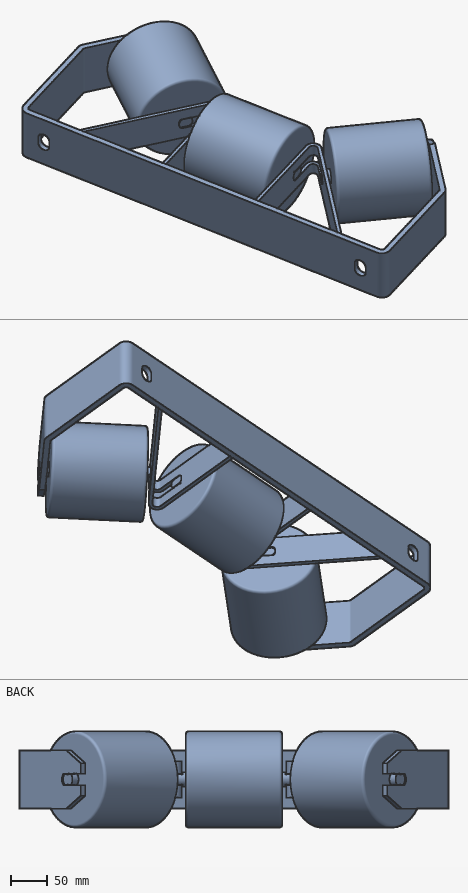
import cadquery as cq
import math

frame_length = 590.0
frame_width = 80.0
frame_thickness = 8.0
frame_bend_radius = 13.0
tilt = 40.0
frame_wall_height = 161.0
leaning_wall_tip = 261.5
tip_chamfer_length = 30.5
tip_chamfer_depth = 17.5

mount_slot_spacing = 510.0
mount_slot_width = 17.5
mount_slot_height = 27.0
upright = 90

bracket_thickness = 5.5
bracket_width = 50.0
bracket_bend_radius = 12.0
bracket_face_x = 72.0
bracket_bend_y = 156.5

roller_diameter = 133.0
roller_length = 133.0
roller_edge_radius = 4.0
middle_roller_y = 125.0
outer_roller_x = 169.5
outer_roller_y = 187.0
shaft_diameter = 20.0
shaft_flat_width = 14.0
shaft_shoulder = 71.0
shaft_slot_width = 16.0
shaft_length = 2 * (bracket_face_x + bracket_thickness)

tilt_sin = math.sin(math.radians(tilt))
tilt_cos = math.cos(math.radians(tilt))
cut_margin = 6.0


def place_middle(body):
    return body.translate((0, middle_roller_y, 0))


def place_outer_left(body):
    return body.rotate((0, 0, 0), (0, 0, 1), -tilt).translate((-outer_roller_x, outer_roller_y, 0))


def mirror_pair(body):
    return [body, body.mirror("YZ")]


def round_corner(body, corner, radius):
    """Round the edge along Z that passes through the XY point `corner`."""
    return body.edges(cq.NearestToPointSelector((*corner, 0))).fillet(radius)


def extrude_strip(points, width):
    return cq.Workplane("XY", origin=(0, 0, -width / 2)).polyline(points).close().extrude(width)


def make_rod(diameter, length):
    """Cylinder along X, centred on the origin."""
    return cq.Workplane("YZ", origin=(-length / 2, 0, 0)).circle(diameter / 2).extrude(length)


def make_roller():
    """Roller lying along X at the origin, with a flatted shaft stub at each end."""
    drum = (
        make_rod(roller_diameter, roller_length)
        .faces("<X or >X")
        .edges()
        .fillet(roller_edge_radius)
    )
    round_shaft = make_rod(shaft_diameter, 2 * shaft_shoulder)
    flatted_ends = make_flatted_rod(shaft_length, shaft_flat_width)
    return drum.union(round_shaft).union(flatted_ends)


def make_flatted_rod(length, flat_width):
    """Rod of the shaft's diameter with two flats facing up and down."""
    flats = cq.Workplane("XY").box(length, shaft_diameter, flat_width)
    return make_rod(shaft_diameter, length).intersect(flats)


def make_shaft_slot():
    """Cutting tool for the two slots of one roller: a round-bottomed channel, open towards +Y."""
    reach = 2 * (bracket_face_x + bracket_bend_radius)
    depth = roller_diameter / 2
    channel = cq.Workplane("XY").box(reach, depth, shaft_slot_width).translate((0, depth / 2, 0))
    return make_flatted_rod(reach, shaft_slot_width).union(channel)


def make_frame():
    half_length = frame_length / 2
    half_bend = math.tan(math.radians(tilt / 2))
    wall_rise = leaning_wall_tip - frame_wall_height
    inner_x = half_length - frame_thickness
    inner_wall_height = frame_wall_height - frame_thickness * half_bend
    tip_x = half_length - wall_rise * tilt_sin / tilt_cos
    tip_inner = (tip_x - frame_thickness * tilt_cos, leaning_wall_tip - frame_thickness * tilt_sin)

    right_side = [
        (half_length, 0),
        (half_length, frame_wall_height),
        (tip_x, leaning_wall_tip),
        tip_inner,
        (inner_x, inner_wall_height),
        (inner_x, frame_thickness),
    ]
    left_side = [(-x, y) for x, y in reversed(right_side)]
    frame = extrude_strip(right_side + left_side, frame_width)

    inner_radius = frame_bend_radius - frame_thickness
    for side in (-1, 1):
        for corner_x, corner_y, radius in (
            (half_length, 0, frame_bend_radius),
            (half_length, frame_wall_height, frame_bend_radius),
            (inner_x, inner_wall_height, inner_radius),
            (inner_x, frame_thickness, inner_radius),
        ):
            frame = round_corner(frame, (side * corner_x, corner_y), radius)

    for corner in mirror_pair(make_tip_corners(tip_x)):
        frame = frame.cut(corner)

    mount_slots = (
        cq.Workplane("XZ")
        .pushPoints([(-mount_slot_spacing / 2, 0), (mount_slot_spacing / 2, 0)])
        .slot2D(mount_slot_height, mount_slot_width, upright)
        .extrude(-frame_thickness - cut_margin)
    )
    return frame.cut(mount_slots)


def make_tip_corners(tip_x):
    """Triangular prisms that trim the upper and lower corner of the left wall's free end."""
    half_width = frame_width / 2
    corners = cq.Workplane("YZ")
    for side in (-1, 1):
        corners = corners.polyline([
            (0, side * half_width),
            (-tip_chamfer_length, side * half_width),
            (0, side * (half_width - tip_chamfer_depth)),
        ]).close()
    corners = corners.extrude(frame_thickness + cut_margin, both=True)
    return corners.rotate((0, 0, 0), (0, 0, 1), -tilt).translate((-tip_x, leaning_wall_tip, 0))


def make_left_bracket():
    """Upright leg beside the middle roller, folded over into a leg along the outer roller."""
    half_fold = math.radians(tilt / 2)
    apex = (-bracket_face_x, bracket_bend_y + bracket_bend_radius / math.tan(half_fold))
    inner_x = -bracket_face_x - bracket_thickness
    inner_apex = (inner_x, apex[1] - bracket_thickness / math.tan(half_fold))

    def slanted_foot(top):
        return (top[0] - (top[1] - frame_thickness) * tilt_sin / tilt_cos, frame_thickness)

    outline = [
        (-bracket_face_x, frame_thickness),
        apex,
        slanted_foot(apex),
        slanted_foot(inner_apex),
        inner_apex,
        (inner_x, frame_thickness),
    ]
    bracket = extrude_strip(outline, bracket_width)
    bracket = round_corner(bracket, apex, bracket_bend_radius)
    return round_corner(bracket, inner_apex, bracket_bend_radius - bracket_thickness)


roller = make_roller()
middle_roller = place_middle(roller)
outer_rollers = mirror_pair(place_outer_left(roller))

shaft_slot = make_shaft_slot()
outer_slots = mirror_pair(place_outer_left(shaft_slot))

frame = make_frame()
for slot in outer_slots:
    frame = frame.cut(slot)

left_bracket = make_left_bracket().cut(place_middle(shaft_slot)).cut(outer_slots[0])
brackets = mirror_pair(left_bracket)

result = cq.Compound.makeCompound([
    frame.val(),
    *[bracket.val() for bracket in brackets],
    middle_roller.val(),
    *[outer_roller.val() for outer_roller in outer_rollers],
])